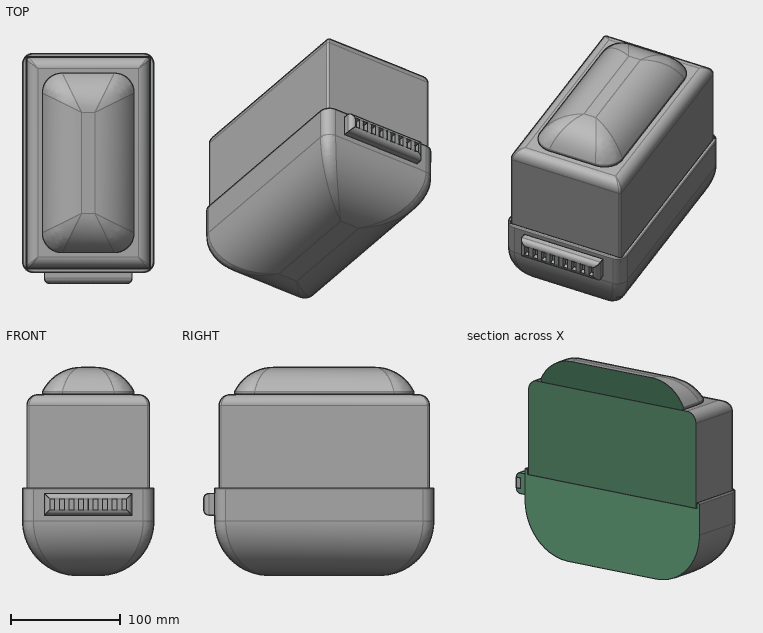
import cadquery as cq

base_width = 120.0
base_length = 200.0
base_height = 80.0
base_bottom_radius = 50.0
base_corner_diameter = 20.0
base_rim_radius = 1.0
recess_depth = 5.0
recess_clearance = 0.8

housing_inset = 4.0
housing_exposed_height = 85.0
housing_top_radius = 10.0
housing_corner_radius = 2.0

dome_height = 25.0
dome_radius = 40.0
dome_corner_radius = 20.0
dome_foot_radius = 2.0

overall_length = 210.0
grille_width = 80.0
grille_height = 20.0
grille_bottom = 55.0
grille_edge_radius = 5.0
slots_per_side = 4
slot_depth = 5.0
centre_slit_width = 0.5

housing_width = base_width - 2 * housing_inset
housing_length = base_length - 2 * housing_inset
housing_bottom = base_height - recess_depth
housing_top = base_height + housing_exposed_height
grille_projection = overall_length - base_length
grille_front = -base_length / 2 - grille_projection


def rounded_block(width, length, height, cap_radius, corner_radius, cap_faces):
    """A box standing on Z = 0 whose `cap_faces` edges are rounded first, then its four corners.

    The corner rounding keeps one radius up the upright edges and on along the mitres of the cap,
    where it narrows to nothing at the flat of the cap.
    """
    block = cq.Workplane("XY").box(width, length, height, centered=(True, True, False))
    block = block.faces(cap_faces).edges().fillet(cap_radius)
    return block.edges("|Z").fillet(corner_radius)


def make_base():
    base = rounded_block(
        base_width, base_length, base_height, base_bottom_radius, base_corner_diameter / 2, "<Z"
    )
    base = base.faces(">Z").edges().fillet(base_rim_radius)
    recess = (
        cq.Workplane("XY", origin=(0, 0, housing_bottom))
        .rect(housing_width + 2 * recess_clearance, housing_length + 2 * recess_clearance)
        .extrude(recess_depth)
        .edges("|Z").fillet(housing_corner_radius)
    )
    return base.cut(recess)


def make_housing():
    housing = rounded_block(
        housing_width, housing_length, recess_depth + housing_exposed_height,
        housing_top_radius, housing_corner_radius, ">Z",
    )
    return housing.translate((0, 0, housing_bottom))


def make_dome():
    flat_width = housing_width - 2 * housing_top_radius
    flat_length = housing_length - 2 * housing_top_radius
    pillow_height = 2 * dome_radius
    buried = pillow_height - dome_height
    pillow = rounded_block(
        flat_width, flat_length, pillow_height, dome_radius, dome_corner_radius, ">Z"
    )
    cutter = cq.Workplane("XY").box(
        2 * flat_width, 2 * flat_length, buried, centered=(True, True, False)
    )
    dome = pillow.cut(cutter).translate((0, 0, -buried))
    dome = dome.faces("<Z").edges().fillet(dome_foot_radius)
    return dome.translate((0, 0, housing_top))


def grille_slot(x, width):
    """The cutter for one slot, as tall as the flat front of the grille and centred at `x`."""
    slot_height = grille_height - 2 * grille_edge_radius
    slot = cq.Workplane("XY").box(width, slot_depth, slot_height, centered=(True, False, False))
    return slot.translate((x, grille_front, grille_bottom + grille_edge_radius))


def make_grille():
    grille = (
        cq.Workplane("XY")
        .box(grille_width, grille_projection, grille_height, centered=(True, False, False))
        .translate((0, grille_front, grille_bottom))
        .faces("<Y").edges().fillet(grille_edge_radius)
    )
    face_width = grille_width - 2 * grille_edge_radius
    slot_width = face_width / (4 * slots_per_side)
    for side in (-1, 1):
        for i in range(slots_per_side):
            x = side * (face_width / 2 - (2 * i + 0.5) * slot_width)
            grille = grille.cut(grille_slot(x, slot_width))
    return grille.cut(grille_slot(0, centre_slit_width))


base = make_base()
housing = make_housing()
dome = make_dome()
grille = make_grille()
result = cq.Compound.makeCompound([base.val(), housing.val(), dome.val(), grille.val()])